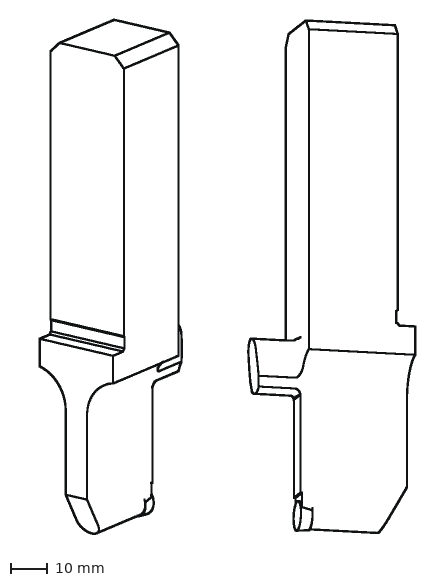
import cadquery as cq
import math

TOTAL_HEIGHT = 140.0
SHANK_WIDTH = 24.9
SHANK_DEPTH = 25.0
HOLDER_DEPTH = 30.0
TOP_CHAMFER = 3.1
LEDGE_Z = 55.9

UNDERCUT_DEPTH = 0.4
UNDERCUT_HEIGHT = 3.9
UNDERCUT_RADIUS = 0.7

BLADE_WIDTH = 7.3
BLADE_BOTTOM_Z = 0.5
SHOULDER_Z = 37.1
SHOULDER_RADIUS = 11.0
NOSE_HEIGHT = 12.3
NOSE_ANGLE = 30.0

BOSS_LENGTH = 13.0
BOSS_WIDTH = 9.1
BOSS_TOP_Z = 52.6
BOSS_CROWN_RADIUS = 4.0
BOSS_SIDE_RADIUS = 56.0
BOSS_BOTTOM_Z = 37.5
BOSS_LOWER_RADIUS = 6.7
BOSS_TIP_ANGLE = 5.0
BOSS_FILLET = 1.7
BOSS_ROOT_MARGIN = 0.4

INSERT_RADIUS = 4.0
INSERT_THICKNESS = 3.4
INSERT_TAPER_ANGLE = 5.0

RELIEF_DEPTH = 0.4
RELIEF_TOP_Z = 9.8


def front_outline(workplane):
    """Holder outline in X and Z, drawn on an XZ workplane."""
    half_shank = SHANK_WIDTH / 2
    half_blade = BLADE_WIDTH / 2
    arc_center_x = half_blade + SHOULDER_RADIUS
    arc_end_z = SHOULDER_Z + math.sqrt(SHOULDER_RADIUS**2 - (arc_center_x - half_shank) ** 2)
    arc_angle = math.asin((arc_end_z - SHOULDER_Z) / SHOULDER_RADIUS)
    arc_mid_x = arc_center_x - SHOULDER_RADIUS * math.cos(arc_angle / 2)
    arc_mid_z = SHOULDER_Z + SHOULDER_RADIUS * math.sin(arc_angle / 2)
    round_center_z = BLADE_BOTTOM_Z + half_blade
    return (
        workplane.moveTo(-half_blade, round_center_z)
        .threePointArc((0, BLADE_BOTTOM_Z), (half_blade, round_center_z))
        .lineTo(half_blade, SHOULDER_Z)
        .threePointArc((arc_mid_x, arc_mid_z), (half_shank, arc_end_z))
        .lineTo(half_shank, TOTAL_HEIGHT - TOP_CHAMFER)
        .lineTo(half_shank - TOP_CHAMFER, TOTAL_HEIGHT)
        .lineTo(-half_shank + TOP_CHAMFER, TOTAL_HEIGHT)
        .lineTo(-half_shank, TOTAL_HEIGHT - TOP_CHAMFER)
        .lineTo(-half_shank, arc_end_z)
        .threePointArc((-arc_mid_x, arc_mid_z), (-half_blade, SHOULDER_Z))
        .close()
    )


def side_profile():
    """Holder outline in Y and Z, as a block wide enough for the shank."""
    undercut_y = -SHANK_DEPTH + UNDERCUT_DEPTH
    undercut_top_z = LEDGE_Z + UNDERCUT_HEIGHT
    nose_setback = NOSE_HEIGHT * math.tan(math.radians(NOSE_ANGLE))
    return (
        cq.Workplane("YZ")
        .moveTo(0, TOTAL_HEIGHT)
        .lineTo(-SHANK_DEPTH, TOTAL_HEIGHT)
        .lineTo(-SHANK_DEPTH, undercut_top_z + UNDERCUT_DEPTH)
        .lineTo(undercut_y, undercut_top_z)
        .lineTo(undercut_y, LEDGE_Z + UNDERCUT_RADIUS)
        .radiusArc((undercut_y - UNDERCUT_RADIUS, LEDGE_Z), -UNDERCUT_RADIUS)
        .lineTo(-HOLDER_DEPTH, LEDGE_Z)
        .lineTo(-HOLDER_DEPTH, BLADE_BOTTOM_Z + NOSE_HEIGHT)
        .lineTo(-HOLDER_DEPTH + nose_setback, BLADE_BOTTOM_Z)
        .lineTo(-RELIEF_DEPTH, BLADE_BOTTOM_Z)
        .lineTo(-RELIEF_DEPTH, RELIEF_TOP_Z)
        .lineTo(0, RELIEF_TOP_Z)
        .close()
        .extrude(SHANK_WIDTH, both=True)
    )


def make_boss():
    """Upright boss behind the shank, with a slanted tip and a filleted root."""
    half_width = BOSS_WIDTH / 2
    crown_center_z = BOSS_TOP_Z - BOSS_CROWN_RADIUS
    center_distance = BOSS_SIDE_RADIUS - BOSS_CROWN_RADIUS
    tangent_angle = math.acos((BOSS_SIDE_RADIUS - half_width) / center_distance)
    tangent_x = BOSS_CROWN_RADIUS * math.cos(tangent_angle)
    tangent_z = crown_center_z + BOSS_CROWN_RADIUS * math.sin(tangent_angle)
    widest_z = crown_center_z - center_distance * math.sin(tangent_angle)
    lower_arc_rise = BOSS_LOWER_RADIUS - math.sqrt(BOSS_LOWER_RADIUS**2 - half_width**2)
    lower_corner_z = BOSS_BOTTOM_Z + lower_arc_rise
    plate = cq.Workplane("XZ").rect(2 * SHANK_WIDTH, 2 * TOTAL_HEIGHT).extrude(HOLDER_DEPTH)
    boss = (
        cq.Workplane("XZ")
        .moveTo(-half_width, lower_corner_z)
        .threePointArc((0, BOSS_BOTTOM_Z), (half_width, lower_corner_z))
        .lineTo(half_width, widest_z)
        .radiusArc((tangent_x, tangent_z), -BOSS_SIDE_RADIUS)
        .threePointArc((0, BOSS_TOP_Z), (-tangent_x, tangent_z))
        .radiusArc((-half_width, widest_z), -BOSS_SIDE_RADIUS)
        .close()
        .extrude(-BOSS_LENGTH)
    )
    root = cq.selectors.BoxSelector(
        (-BOSS_WIDTH, -BOSS_FILLET, 0), (BOSS_WIDTH, BOSS_FILLET, TOTAL_HEIGHT), boundingbox=True
    )
    boss = plate.union(boss).edges(root).fillet(BOSS_FILLET)
    tip_slope = math.tan(math.radians(BOSS_TIP_ANGLE))
    root_top_z = BOSS_TOP_Z + BOSS_ROOT_MARGIN
    root_bottom_z = BOSS_BOTTOM_Z - BOSS_ROOT_MARGIN
    slanted_envelope = (
        cq.Workplane("YZ")
        .moveTo(0, root_bottom_z)
        .lineTo(BOSS_LENGTH - (BOSS_TOP_Z - root_bottom_z) * tip_slope, root_bottom_z)
        .lineTo(BOSS_LENGTH, BOSS_TOP_Z)
        .lineTo(BOSS_LENGTH, root_top_z)
        .lineTo(0, root_top_z)
        .close()
        .extrude(SHANK_WIDTH, both=True)
    )
    flush_envelope = front_outline(cq.Workplane("XZ")).extrude(-BOSS_LENGTH)
    return boss.intersect(slanted_envelope).intersect(flush_envelope)


def make_insert():
    """Tapered disc with its large face on the rear plane."""
    return (
        cq.Workplane("XZ")
        .center(0, INSERT_RADIUS)
        .circle(INSERT_RADIUS)
        .extrude(INSERT_THICKNESS, taper=INSERT_TAPER_ANGLE)
    )


def make_holder(insert):
    """Shank, blade and boss, with a seat that matches the insert."""
    body = front_outline(cq.Workplane("XZ")).extrude(HOLDER_DEPTH).intersect(side_profile())
    return body.union(make_boss()).cut(insert)


insert = make_insert()
holder = make_holder(insert)

result = cq.Compound.makeCompound([holder.val(), insert.val()])